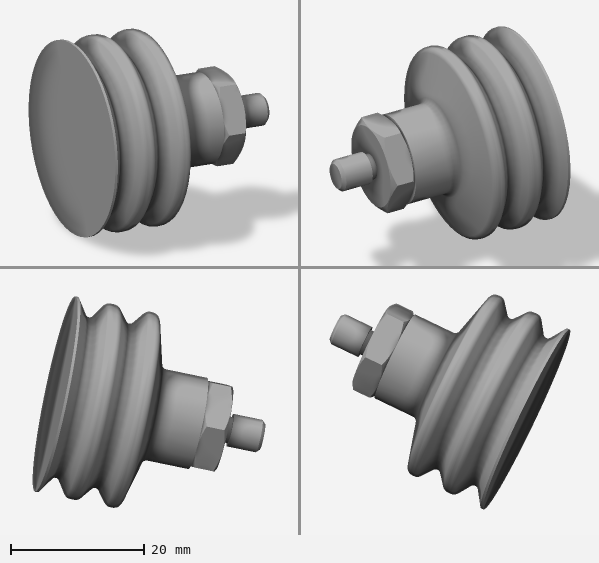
import cadquery as cq
import math


lip_radius = 30.0 / 2
lip_thickness = 0.4
ridge_rounding = 1.0
groove_rounding = 0.8
lower_groove_y = 2.65
lower_groove_radius = 11.7
lower_ridge_start = 4.9
lower_ridge_end = 6.53
upper_groove_y = 8.83
upper_groove_radius = 12.13
upper_ridge_start = 11.1
upper_ridge_end = 12.75
shoulder_y = 14.98
collar_radius = 14.0 / 2

nut_start = 22.0
nut_height = 4.0
nut_across_flats = 13.0
nut_turn = 4.6
nut_bevel_angle = 30
nut_face_radius = 6.4

stud_radius = 5.0 / 2
relief_radius = 4.0 / 2
relief_length = 1.0
stud_chamfer = 0.5
overall_length = 32

nut_end = nut_start + nut_height


def toward(start, end, distance):
    """Point at a distance from start on the line to end."""
    share = distance / math.dist(start, end)
    return tuple(a + share * (b - a) for a, b in zip(start, end))


def round_corner(path, before, corner, after, radius):
    """Continue a path to a corner and around it with a tangent arc."""
    to_before = math.atan2(before[1] - corner[1], before[0] - corner[0])
    to_after = math.atan2(after[1] - corner[1], after[0] - corner[0])
    half_angle = abs(math.remainder(to_after - to_before, math.tau)) / 2
    tangent_length = radius / math.tan(half_angle)
    arc_start = toward(corner, before, tangent_length)
    arc_end = toward(corner, after, tangent_length)
    chord_middle = tuple((a + b) / 2 for a, b in zip(arc_start, arc_end))
    arc_middle = toward(corner, chord_middle, radius / math.sin(half_angle) - radius)
    return path.lineTo(*arc_start).threePointArc(arc_middle, arc_end)


def revolve_about_y(profile):
    return profile.close().revolve(360, (0, 0, 0), (0, 1, 0))


def make_bellows():
    lip_top = (lip_radius, lip_thickness)
    collar_top = (collar_radius, nut_start)
    rounded_corners = [
        (lower_groove_radius, lower_groove_y, groove_rounding),
        (lip_radius, lower_ridge_start, ridge_rounding),
        (lip_radius, lower_ridge_end, ridge_rounding),
        (upper_groove_radius, upper_groove_y, groove_rounding),
        (lip_radius, upper_ridge_start, ridge_rounding),
        (lip_radius, upper_ridge_end, ridge_rounding),
        (collar_radius, shoulder_y, ridge_rounding),
    ]
    points = [lip_top] + [(r, y) for r, y, _ in rounded_corners] + [collar_top]
    path = cq.Workplane("XY").lineTo(lip_radius, 0).lineTo(*lip_top)
    for index, (_, _, rounding) in enumerate(rounded_corners):
        path = round_corner(path, *points[index:index + 3], rounding)
    return revolve_about_y(path.lineTo(*collar_top).lineTo(0, nut_start))


def make_nut():
    corner_radius = nut_across_flats / math.sqrt(3)
    prism = (
        cq.Workplane("XZ", origin=(0, nut_start, 0))
        .polygon(6, 2 * corner_radius)
        .extrude(-nut_height)
        .rotate((0, 0, 0), (0, 1, 0), nut_turn)
    )
    bevel_height = (corner_radius - nut_face_radius) * math.tan(math.radians(nut_bevel_angle))
    envelope = revolve_about_y(
        cq.Workplane("XY")
        .moveTo(0, nut_start)
        .lineTo(nut_face_radius, nut_start)
        .lineTo(corner_radius, nut_start + bevel_height)
        .lineTo(corner_radius, nut_end - bevel_height)
        .lineTo(nut_face_radius, nut_end)
        .lineTo(0, nut_end)
    )
    return prism.intersect(envelope)


def make_stud():
    thread_start = nut_end + relief_length
    return revolve_about_y(
        cq.Workplane("XY")
        .moveTo(0, nut_end)
        .lineTo(relief_radius, nut_end)
        .lineTo(relief_radius, thread_start)
        .lineTo(stud_radius, thread_start)
        .lineTo(stud_radius, overall_length - stud_chamfer)
        .lineTo(stud_radius - stud_chamfer, overall_length)
        .lineTo(0, overall_length)
    )


result = make_bellows().union(make_nut()).union(make_stud())